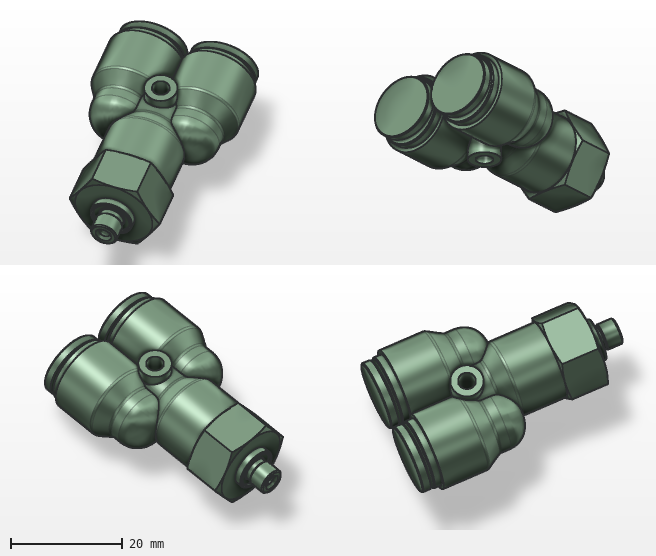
import cadquery as cq
import math

LENGTH = 44.85

BARREL_DIA = 14.7
WAIST_DIA = 11.05
SHOULDER_LENGTH = 3.1
BLEND_RADIUS = 1.0
WIDTH = 28.3
SOCKET_X = (WIDTH - BARREL_DIA) / 2

SOCKET_MOUTH_Y = 41.05
SOCKET_SHOULDER_Y = 32.05
DOME_START_Y = 26.9
DOME_RADIUS = 4.5

HEX_TOP_Y = 13.45
TRUNK_SHOULDER_Y = 22.4
NECK_END_Y = SOCKET_SHOULDER_Y

BOSS_DIA = 6.0
BOSS_HOLE_DIA = 3.2
BOSS_Y = DOME_START_Y + BOSS_DIA / 2

COLLAR_DIA = 13.15
COLLAR_TOP_Y = 42.65
COLLAR_CHAMFER = 0.22

STEM_DIA = 7.5
FLANGE_WIDTH = 13.0
FLANGE_HEIGHT = 11.5
FLANGE_THICKNESS = 1.6
FLANGE_CHAMFER = 0.2

HEX_FLATS = 15.0
HEX_BOTTOM_Y = 5.43
HEX_FACE_DIA = 14.85
HEX_CHAMFER_ANGLE = 20.0
SEAT_DIA = 8.0
SEAT_END_Y = 4.0
SEAT_CHAMFER = 0.15
SEAT_RECESS_DIA = 7.0
SEAT_RECESS_DEPTH = 0.5
UNDERCUT_DIA = 4.5
THREAD_DIA = 5.0
THREAD_TOP_Y = 3.05
THREAD_CHAMFER = (THREAD_DIA - UNDERCUT_DIA) / 2
UNDERCUT_ROOT_CHAMFER = 0.2
BORE_DIA = 2.0
BORE_MOUTH_DIA = 3.0
BORE_MOUTH_DEPTH = 0.65


def cylinder(diameter, start_y, end_y):
    """Round bar on the Y axis from start_y to end_y."""
    plane = cq.Plane(origin=(0, start_y, 0), xDir=(1, 0, 0), normal=(0, 1, 0))
    return cq.Workplane(plane).circle(diameter / 2).extrude(end_y - start_y)


def turn(profile):
    """Revolve a half profile, drawn as (radius, y), around the Y axis."""
    return profile.close().revolve(360, (0, 0), (0, 1))


def blend_shoulder(barrel, *edge_positions):
    """Round the circular edges found at the given Y positions."""
    def at_shoulder(edge):
        return any(math.isclose(edge.Center().y, y, abs_tol=0.005) for y in edge_positions)

    return barrel.edges("%CIRCLE").filter(at_shoulder).fillet(BLEND_RADIUS)


def make_socket():
    """One socket barrel with its shoulder and domed end, centred on the Y axis."""
    waist_y = SOCKET_SHOULDER_Y - SHOULDER_LENGTH
    dome_end_y = DOME_START_Y - DOME_RADIUS
    flat_radius = WAIST_DIA / 2 - DOME_RADIUS
    profile = (
        cq.Workplane("XY")
        .moveTo(0, SOCKET_MOUTH_Y)
        .lineTo(BARREL_DIA / 2, SOCKET_MOUTH_Y)
        .lineTo(BARREL_DIA / 2, SOCKET_SHOULDER_Y)
        .lineTo(WAIST_DIA / 2, waist_y)
        .lineTo(WAIST_DIA / 2, DOME_START_Y)
        .radiusArc((flat_radius, dome_end_y), DOME_RADIUS)
        .lineTo(0, dome_end_y)
    )
    return blend_shoulder(turn(profile), SOCKET_SHOULDER_Y, waist_y)


def make_trunk():
    """Central barrel that narrows to a neck running in between the sockets."""
    waist_y = TRUNK_SHOULDER_Y + SHOULDER_LENGTH
    profile = (
        cq.Workplane("XY")
        .moveTo(0, HEX_TOP_Y)
        .lineTo(BARREL_DIA / 2, HEX_TOP_Y)
        .lineTo(BARREL_DIA / 2, TRUNK_SHOULDER_Y)
        .lineTo(WAIST_DIA / 2, waist_y)
        .lineTo(WAIST_DIA / 2, NECK_END_Y)
        .lineTo(0, NECK_END_Y)
    )
    return blend_shoulder(turn(profile), TRUNK_SHOULDER_Y, waist_y)


def make_housing():
    """Y-shaped housing: two sockets, the trunk and the drilled boss."""
    housing = make_trunk()
    for side in (-1, 1):
        housing = housing.union(make_socket().translate((side * SOCKET_X, 0, 0)))
    boss_plane = cq.Workplane("XY", origin=(0, BOSS_Y, 0))
    boss = boss_plane.circle(BOSS_DIA / 2).extrude(BARREL_DIA / 2, both=True)
    hole = boss_plane.circle(BOSS_HOLE_DIA / 2).extrude(BARREL_DIA, both=True)
    return housing.union(boss).cut(hole)


def make_collar(side):
    """Round collar standing on the mouth of a socket."""
    collar = cylinder(COLLAR_DIA, SOCKET_MOUTH_Y, COLLAR_TOP_Y)
    return collar.faces(">Y").chamfer(COLLAR_CHAMFER).translate((side * SOCKET_X, 0, 0))


def make_sleeve(side):
    """Release sleeve: round stem on the collar with an oval flange at the end."""
    flange_plane = cq.Plane(origin=(0, LENGTH, 0), xDir=(1, 0, 0), normal=(0, 1, 0))
    flange = (
        cq.Workplane(flange_plane)
        .ellipse(FLANGE_WIDTH / 2, FLANGE_HEIGHT / 2)
        .extrude(-FLANGE_THICKNESS)
        .faces(">Y")
        .chamfer(FLANGE_CHAMFER)
    )
    stem = cylinder(STEM_DIA, COLLAR_TOP_Y, LENGTH - FLANGE_THICKNESS)
    return flange.union(stem).translate((side * SOCKET_X, 0, 0))


def make_hex():
    """Hexagon with flats facing up and down and its corners chamfered at both ends."""
    corner_radius = HEX_FLATS / math.sqrt(3)
    face_radius = HEX_FACE_DIA / 2
    drop = (corner_radius - face_radius) * math.tan(math.radians(HEX_CHAMFER_ANGLE))
    plane = cq.Plane(origin=(0, HEX_BOTTOM_Y, 0), xDir=(1, 0, 0), normal=(0, 1, 0))
    prism = cq.Workplane(plane).polygon(6, 2 * corner_radius).extrude(HEX_TOP_Y - HEX_BOTTOM_Y)
    envelope = (
        cq.Workplane("XY")
        .moveTo(0, HEX_BOTTOM_Y)
        .lineTo(face_radius, HEX_BOTTOM_Y)
        .lineTo(corner_radius, HEX_BOTTOM_Y + drop)
        .lineTo(corner_radius, HEX_TOP_Y - drop)
        .lineTo(face_radius, HEX_TOP_Y)
        .lineTo(0, HEX_TOP_Y)
    )
    return prism.intersect(turn(envelope))


def make_threaded_end():
    """Chamfered thread and its undercut, ending on the floor of the seat recess."""
    root_y = SEAT_END_Y + SEAT_RECESS_DEPTH
    profile = (
        cq.Workplane("XY")
        .moveTo(0, 0)
        .lineTo(UNDERCUT_DIA / 2, 0)
        .lineTo(THREAD_DIA / 2, THREAD_CHAMFER)
        .lineTo(THREAD_DIA / 2, THREAD_TOP_Y)
        .lineTo(UNDERCUT_DIA / 2, THREAD_TOP_Y + THREAD_CHAMFER)
        .lineTo(UNDERCUT_DIA / 2, root_y - UNDERCUT_ROOT_CHAMFER)
        .lineTo(UNDERCUT_DIA / 2 + UNDERCUT_ROOT_CHAMFER, root_y)
        .lineTo(0, root_y)
    )
    return turn(profile)


def make_stud():
    """Hexagon with a recessed seat, an undercut and a bored threaded end."""
    seat = cylinder(SEAT_DIA, SEAT_END_Y, HEX_BOTTOM_Y).faces("<Y").chamfer(SEAT_CHAMFER)
    recess = cylinder(SEAT_RECESS_DIA, SEAT_END_Y, SEAT_END_Y + SEAT_RECESS_DEPTH)
    bore = cylinder(BORE_DIA, 0, HEX_TOP_Y)
    mouth = turn(
        cq.Workplane("XY")
        .moveTo(0, 0)
        .lineTo(BORE_MOUTH_DIA / 2, 0)
        .lineTo(BORE_DIA / 2, BORE_MOUTH_DEPTH)
        .lineTo(0, BORE_MOUTH_DEPTH)
    )
    stud = make_hex().union(seat).cut(recess)
    return stud.union(make_threaded_end()).cut(bore).cut(mouth)


housing = make_housing()
stud = make_stud()
collars = [make_collar(side) for side in (-1, 1)]
sleeves = [make_sleeve(side) for side in (-1, 1)]

result = cq.Compound.makeCompound([
    housing.val(),
    stud.val(),
    *[collar.val() for collar in collars],
    *[sleeve.val() for sleeve in sleeves],
])